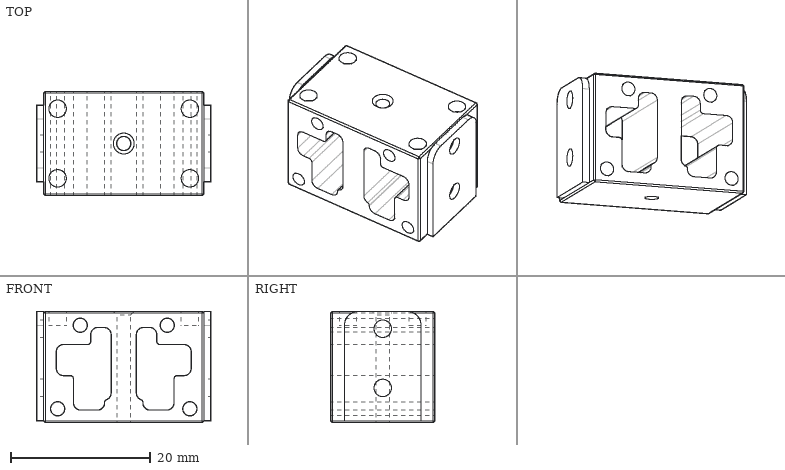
import cadquery as cq
import math

body_length = 23.0
body_width = 15.0
body_height = 16.0
edge_chamfer = 0.25

plate_thickness = 1.0
plate_width = 11.0
plate_bottom_gap = 0.25
plate_corner_radius = 2.0

socket_diameter = 2.5
top_socket_depth = 2.0
top_socket_x = 9.5
top_socket_y = 5.0
side_socket_depth = plate_thickness
side_socket_heights = (5.5, -3.0)

screw_diameter = 2.0
screw_sink_diameter = 3.0
screw_sink_angle = 90.0

cross_hole_diameter = 2.0
upper_cross_hole = (6.25, 6.0)
lower_cross_hole = (9.5, -6.0)

pocket_inner_x = -1.83
pocket_notch_x = -2.77
pocket_neck_x = -4.72
pocket_foot_x = -7.2
pocket_outer_x = -9.67
pocket_top_z = 5.67
pocket_arm_top_z = 3.21
pocket_arm_bottom_z = -1.22
pocket_bottom_z = -6.17
notch_arc_center_z = -3.75
corner_radius = 1.0
inside_radius = 0.5
notch_radius = 0.4

body_top_z = body_height / 2
plate_outer_x = body_length / 2 + plate_thickness


def make_body():
    block = cq.Workplane("XY").box(body_length, body_width, body_height)
    return block.edges().chamfer(edge_chamfer)


def make_plate(side):
    """Side plate with two rounded top corners; side is -1 or +1 along X."""
    plate_height = body_height - plate_bottom_gap
    center_x = side * (body_length + plate_thickness) / 2
    plate = cq.Workplane("XY").box(plate_thickness, plate_width, plate_height)
    plate = plate.edges("|X and >Z").fillet(plate_corner_radius)
    return plate.translate((center_x, 0, plate_bottom_gap / 2))


def make_side_sockets(side):
    start_x = side * (plate_outer_x - side_socket_depth)
    points = [(0, z) for z in side_socket_heights]
    sockets = cq.Workplane("YZ", origin=(start_x, 0, 0)).pushPoints(points).circle(socket_diameter / 2)
    return sockets.extrude(side * side_socket_depth)


def make_pocket():
    """Cutter for the pocket at -X, outlined clockwise from its upper neck corner."""
    r = corner_radius
    q = inside_radius

    outer_center_x = pocket_inner_x - r
    inner_center_x = pocket_notch_x + notch_radius
    center_dx = inner_center_x - outer_center_x
    center_dz = math.sqrt((r + notch_radius) ** 2 - center_dx ** 2)
    share = r / (r + notch_radius)
    blend_point = (outer_center_x + share * center_dx, notch_arc_center_z - share * center_dz)
    notch_end = (pocket_notch_x, notch_arc_center_z - center_dz)

    outline = (
        cq.Workplane("XZ", origin=(0, body_width / 2, 0))
        .moveTo(pocket_neck_x + r, pocket_top_z)
        .lineTo(pocket_inner_x - r, pocket_top_z)
        .tangentArcPoint((r, -r))
        .lineTo(pocket_inner_x, notch_arc_center_z)
        .tangentArcPoint(blend_point, relative=False)
        .tangentArcPoint(notch_end, relative=False)
        .lineTo(pocket_notch_x, pocket_bottom_z + r)
        .tangentArcPoint((-r, -r))
        .lineTo(pocket_foot_x + r, pocket_bottom_z)
        .tangentArcPoint((-r, r))
        .lineTo(pocket_foot_x, pocket_arm_bottom_z - q)
        .tangentArcPoint((-q, q))
        .lineTo(pocket_outer_x + r, pocket_arm_bottom_z)
        .tangentArcPoint((-r, r))
        .lineTo(pocket_outer_x, pocket_arm_top_z - r)
        .tangentArcPoint((r, r))
        .lineTo(pocket_neck_x - q, pocket_arm_top_z)
        .tangentArcPoint((q, q))
        .lineTo(pocket_neck_x, pocket_top_z - r)
        .tangentArcPoint((r, r))
        .close()
    )
    return outline.extrude(body_width)


def make_cross_holes():
    points = [(side * x, z) for x, z in (upper_cross_hole, lower_cross_hole) for side in (-1, 1)]
    holes = cq.Workplane("XZ", origin=(0, body_width / 2, 0)).pushPoints(points)
    return holes.circle(cross_hole_diameter / 2).extrude(body_width)


def cut_top_holes(part):
    top = cq.Workplane("XY", origin=(0, 0, body_top_z))
    sockets = top.rect(2 * top_socket_x, 2 * top_socket_y, forConstruction=True).vertices()
    part = part.cut(sockets.circle(socket_diameter / 2).extrude(-top_socket_depth))
    part = part.copyWorkplane(top)
    return part.cskHole(screw_diameter, screw_sink_diameter, screw_sink_angle)


result = make_body()
for side in (-1, 1):
    result = result.union(make_plate(side)).cut(make_side_sockets(side))
pocket = make_pocket()
result = result.cut(pocket).cut(pocket.mirror("YZ")).cut(make_cross_holes())
result = cut_top_holes(result)